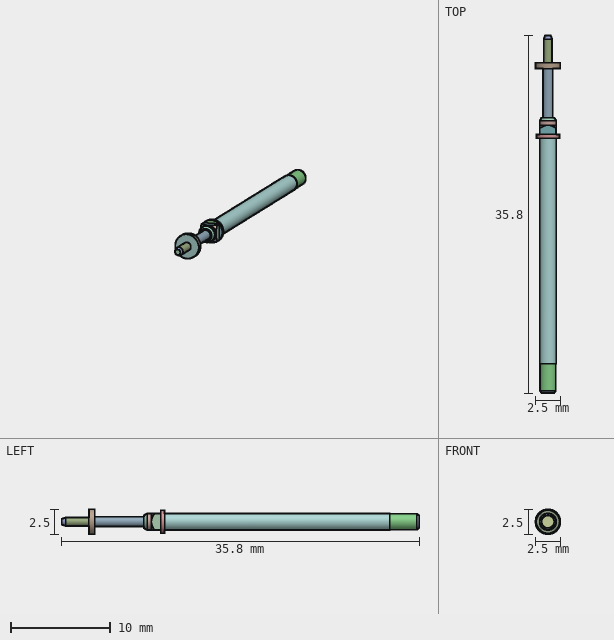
import cadquery as cq

LENGTH = 35.8
FRONT_Y = -LENGTH / 2
BACK_Y = LENGTH / 2

TIP_RADIUS = 0.43
TIP_FACE_RADIUS = 0.3
TIP_TAPER_LENGTH = 0.4

DISC_RADIUS = 1.25
DISC_SETBACK = 2.72
DISC_THICKNESS = 0.6

STEM_RADIUS = 0.5

BARREL_RADIUS = 1.7 / 2
BARREL_SETBACK = 8.25
SHOULDER_RADIUS = 0.65
SHOULDER_LENGTH = 0.32

CAP_LENGTH = 2.95
CAP_RADIUS = 1.6 / 2
END_FACE_RADIUS = 1.25 / 2
END_TAPER_LENGTH = 0.25

COLLAR_RADIUS = 2.33 / 2
COLLAR_SETBACK = 9.9
COLLAR_THICKNESS = 0.4
SQUARE_WIDTH = 2 * BARREL_RADIUS
SQUARE_LENGTH = 0.93
CORNER_TAPER_LENGTH = 0.3


def turned(profile):
    """Revolve (radius, y) points, closed along the Y axis, into a solid."""
    outline = [(0, profile[0][1])] + profile + [(0, profile[-1][1])]
    return cq.Workplane("XY").polyline(outline).close().revolve(360, (0, 0, 0), (0, 1, 0))


def disc(radius, setback, thickness):
    """Round disc whose tip side lies `setback` behind the plunger tip."""
    tip_side = BACK_Y - setback
    return turned([(radius, tip_side - thickness), (radius, tip_side)])


def barrel():
    """Barrel with its cap at -Y and a tapered shoulder around the stem at +Y."""
    shoulder_y = BACK_Y - BARREL_SETBACK
    joint_y = FRONT_Y + CAP_LENGTH
    return turned([
        (END_FACE_RADIUS, FRONT_Y),
        (CAP_RADIUS, FRONT_Y + END_TAPER_LENGTH),
        (CAP_RADIUS, joint_y),
        (BARREL_RADIUS, joint_y),
        (BARREL_RADIUS, shoulder_y - SHOULDER_LENGTH),
        (SHOULDER_RADIUS, shoulder_y),
    ])


def plunger():
    """Stem ending in the shoulder of the barrel, stepped down to a tapered tip."""
    disc_y = BACK_Y - DISC_SETBACK
    return turned([
        (STEM_RADIUS, BACK_Y - BARREL_SETBACK),
        (STEM_RADIUS, disc_y - DISC_THICKNESS),
        (TIP_RADIUS, disc_y - DISC_THICKNESS),
        (TIP_RADIUS, BACK_Y - TIP_TAPER_LENGTH),
        (TIP_FACE_RADIUS, BACK_Y),
    ])


def wrench_square():
    """Square section whose corners are turned down by a cone on the tip side."""
    base_y = BACK_Y - COLLAR_SETBACK
    top_y = base_y + SQUARE_LENGTH
    block = (
        cq.Workplane("XY")
        .box(SQUARE_WIDTH, SQUARE_LENGTH, SQUARE_WIDTH, centered=(True, False, True))
        .translate((0, base_y, 0))
    )
    envelope = turned([
        (COLLAR_RADIUS, base_y),
        (COLLAR_RADIUS, top_y - CORNER_TAPER_LENGTH),
        (BARREL_RADIUS, top_y),
    ])
    return block.intersect(envelope)


result = (
    barrel()
    .union(plunger())
    .union(disc(DISC_RADIUS, DISC_SETBACK, DISC_THICKNESS))
    .union(disc(COLLAR_RADIUS, COLLAR_SETBACK, COLLAR_THICKNESS))
    .union(wrench_square())
)